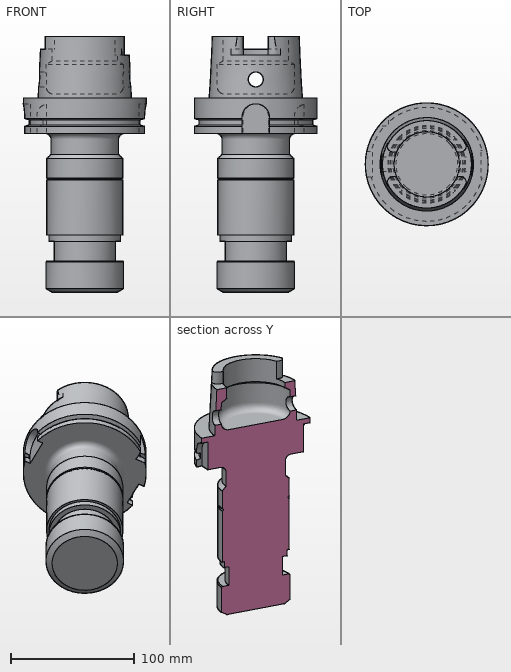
import cadquery as cq
import math


overall_length = 207.9

shank_height = 50.0
shank_base_radius = 38.0
taper_half_ratio = 1 / 20
shank_top_radius = shank_base_radius - shank_height * taper_half_ratio

flange_radius = 99.93 / 2
flange_bottom = -28.9
groove_root_radius = 92.6 / 2
groove_center = -19.9
groove_mouth = 6.3
groove_root_width = 4.0

neck_radius = 55.0 / 2
neck_fillet = 4.8
neck_bottom = -45.8
barrel_radius = 62.0 / 2
ring_top = neck_bottom - (barrel_radius - neck_radius)
ring_bottom = -65.1
ring_groove_radius = 59.4 / 2
ring_groove_width = 1.7
ring_groove_center = ring_bottom - ring_groove_width / 2
barrel_bottom = -111.5
collar_radius = 58.4 / 2
collar_bottom = -116.6
stem_radius = 49.99 / 2
nut_top = -132.3
nut_radius = 63.09 / 2
nut_edge_chamfer = 0.8
nut_bottom = shank_height - overall_length
nut_tip_radius = 53.06 / 2
nut_tip_angle = 30.0
nut_tip_height = (nut_radius - nut_tip_radius) * math.tan(math.radians(nut_tip_angle))

mouth_radius = 53.0 / 2
mouth_depth = 20.0
recess_floor_radius = 49.99 / 2
recess_radius = 63.0 / 2
recess_fillet = recess_radius - recess_floor_radius
recess_floor = 3.0
shoulder_angle = 30.0
mouth_bottom = shank_height - mouth_depth
recess_top = mouth_bottom - (recess_radius - mouth_radius) * math.tan(math.radians(shoulder_angle))

cross_hole_diameter = 12.0
cross_hole_height = 15.0

drive_slot_width = 20.0
drive_slot_depth_left = 10.3
drive_slot_depth_right = 15.3
drive_slot_reach = 40.0
horn_radius = shank_base_radius - (shank_height - drive_slot_depth_left) * taper_half_ratio
horn_corner_radius = 5.0

key_slot_width_left = 20.6
key_slot_width_right = 22.4
key_slot_top = -4.8
key_slot_floor_x = 44.0
notch_width = 20.0
notch_top = -5.0
notch_floor_x = 31.0
notch_edge_y = 31.3
notch_center_y = notch_edge_y + notch_width / 2


def holder_body():
    """Revolve the outside outline of shank, flange, body and nut."""
    outline = (
        cq.Workplane("XZ")
        .moveTo(0, shank_height)
        .lineTo(shank_top_radius, shank_height)
        .lineTo(shank_base_radius, 0)
        .lineTo(flange_radius, 0)
        .lineTo(flange_radius, groove_center + groove_mouth / 2)
        .lineTo(groove_root_radius, groove_center + groove_root_width / 2)
        .lineTo(groove_root_radius, groove_center - groove_root_width / 2)
        .lineTo(flange_radius, groove_center - groove_mouth / 2)
        .lineTo(flange_radius, flange_bottom)
        .lineTo(neck_radius + neck_fillet, flange_bottom)
        .radiusArc((neck_radius, flange_bottom - neck_fillet), -neck_fillet)
        .lineTo(neck_radius, neck_bottom)
        .lineTo(barrel_radius, ring_top)
        .lineTo(barrel_radius, ring_bottom)
        .lineTo(ring_groove_radius, ring_groove_center)
        .lineTo(barrel_radius, ring_bottom - ring_groove_width)
        .lineTo(barrel_radius, barrel_bottom)
        .lineTo(collar_radius, barrel_bottom)
        .lineTo(collar_radius, collar_bottom)
        .lineTo(stem_radius, collar_bottom)
        .lineTo(stem_radius, nut_top)
        .lineTo(nut_radius - nut_edge_chamfer, nut_top)
        .lineTo(nut_radius, nut_top - nut_edge_chamfer)
        .lineTo(nut_radius, nut_bottom + nut_tip_height)
        .lineTo(nut_tip_radius, nut_bottom)
        .lineTo(0, nut_bottom)
        .close()
    )
    return outline.revolve(360, (0, 0, 0), (0, 1, 0))


def clamping_bore():
    """Mouth and wider clamping recess, filleted around its flat floor."""
    outline = (
        cq.Workplane("XZ")
        .moveTo(0, shank_height)
        .lineTo(mouth_radius, shank_height)
        .lineTo(mouth_radius, mouth_bottom)
        .lineTo(recess_radius, recess_top)
        .lineTo(recess_radius, recess_floor + recess_fillet)
        .radiusArc((recess_floor_radius, recess_floor), recess_fillet)
        .lineTo(0, recess_floor)
        .close()
    )
    return outline.revolve(360, (0, 0, 0), (0, 1, 0))


def cross_hole():
    """Round hole along X through both shank walls."""
    return (
        cq.Workplane("YZ")
        .center(0, cross_hole_height)
        .circle(cross_hole_diameter / 2)
        .extrude(flange_radius, both=True)
    )


def drive_slot(side, depth):
    """Slot on the +X (side = 1) or -X (side = -1) wall, leaving a rounded horn along each flank."""
    horns = cq.Workplane("XY").circle(horn_radius).extrude(depth)
    horns = horns.cut(cq.Workplane("XY").rect(2 * flange_radius, drive_slot_width).extrude(depth))
    horns = horns.edges("|Z").fillet(horn_corner_radius)
    slot = (
        cq.Workplane("XY")
        .center(side * flange_radius / 2, 0)
        .rect(flange_radius, drive_slot_reach)
        .extrude(depth)
        .cut(horns)
    )
    return slot.translate((0, 0, shank_height - depth))


def rim_slot(side, floor_x, center_y, width, top):
    """Round-topped slot milled into the flange rim along X, open at the flange underside."""
    radius = width / 2
    return (
        cq.Workplane("YZ", origin=(side * floor_x, 0, 0))
        .moveTo(center_y - radius, flange_bottom)
        .lineTo(center_y - radius, top - radius)
        .threePointArc((center_y, top), (center_y + radius, top - radius))
        .lineTo(center_y + radius, flange_bottom)
        .close()
        .extrude(side * flange_radius)
    )


result = holder_body().cut(clamping_bore()).cut(cross_hole())
result = result.cut(drive_slot(-1, drive_slot_depth_left))
result = result.cut(drive_slot(1, drive_slot_depth_right))
result = result.cut(rim_slot(-1, key_slot_floor_x, 0, key_slot_width_left, key_slot_top))
result = result.cut(rim_slot(1, key_slot_floor_x, 0, key_slot_width_right, key_slot_top))
result = result.cut(rim_slot(-1, notch_floor_x, notch_center_y, notch_width, notch_top))